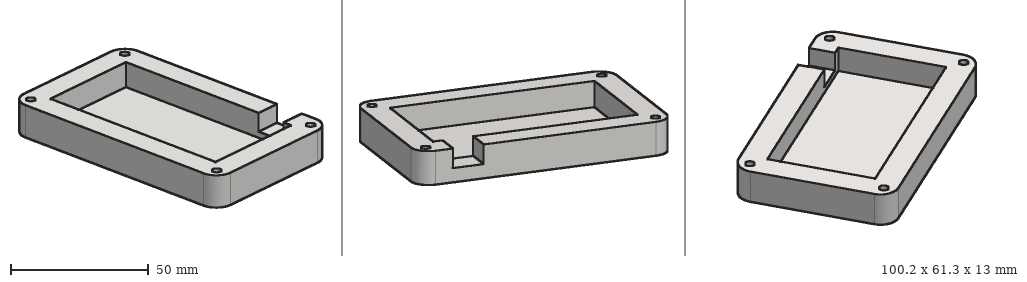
import cadquery as cq

length = 100.2
width = 61.3
height = 13.0
corner_radius = 6.9

wall = 10.0
floor_thickness = 3.0
pocket_length = length - 2 * wall
pocket_width = width - 2 * wall

notch_width = 12.0
notch_depth = 7.5
notch_center_x = 30.4

hole_diameter = 3.4
hole_inset = 5.0


def make_block():
    block = cq.Workplane("XY").box(length, width, height, centered=(True, True, False))
    return block.edges("|Z").fillet(corner_radius)


def make_pocket():
    pocket = cq.Workplane("XY").workplane(offset=floor_thickness)
    return pocket.rect(pocket_length, pocket_width).extrude(height - floor_thickness)


def make_notch():
    notch = cq.Workplane("XY").workplane(offset=height - notch_depth)
    notch = notch.center(notch_center_x, (width - wall) / 2)
    return notch.rect(notch_width, wall).extrude(notch_depth)


def make_screw_holes():
    spacing_x = length - 2 * hole_inset
    spacing_y = width - 2 * hole_inset
    corners = cq.Workplane("XY").rect(spacing_x, spacing_y, forConstruction=True).vertices()
    return corners.circle(hole_diameter / 2).extrude(height)


result = make_block().cut(make_pocket()).cut(make_notch()).cut(make_screw_holes())